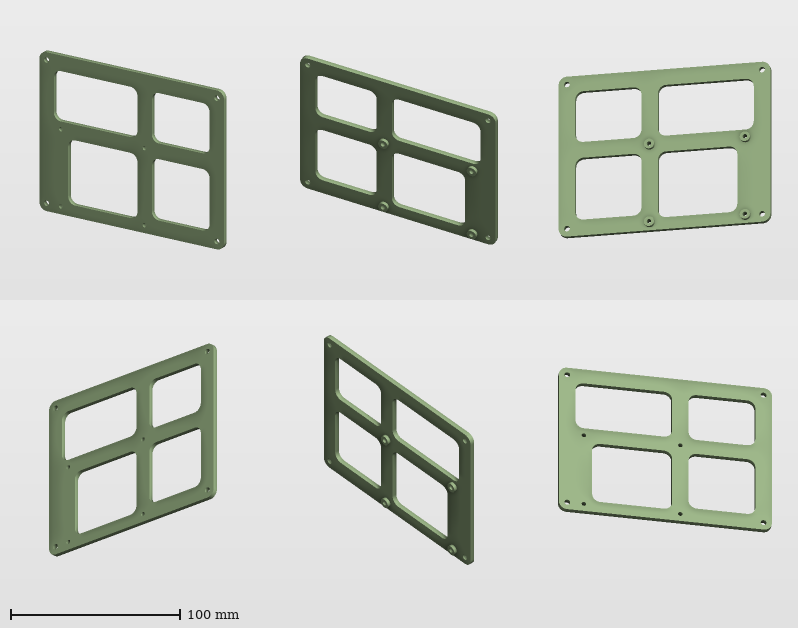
import cadquery as cq

width = 128.0
height = 101.0
plate_thickness = 3.0
boss_height = 2.0
corner_radius = 5.0

rail = 10.0
window_radius = 5.0
right_window_width = 40.0
upper_window_height = 32.0
lower_left_indent = 10.0
lower_left_drop = 2.4

hole_inset = 5.0
corner_hole_diameter = 3.5
boss_hole_diameter = 2.7
boss_diameter = 6.1

right_end = width - rail
right_start = right_end - right_window_width
left_end = right_start - rail
upper_top = height - rail
upper_bottom = upper_top - upper_window_height
lower_top = upper_bottom - rail

windows = [
    (rail, left_end, upper_bottom, upper_top),
    (right_start, right_end, upper_bottom, upper_top),
    (rail + lower_left_indent, left_end, rail - lower_left_drop, lower_top),
    (right_start, right_end, rail, lower_top),
]

corner_points = [
    (x, z)
    for x in (hole_inset, width - hole_inset)
    for z in (hole_inset, height - hole_inset)
]

boss_points = [
    (x, z)
    for x in (rail + hole_inset, left_end + rail / 2)
    for z in (hole_inset, lower_top + rail / 2)
]


def rounded_block(x_start, x_end, z_bottom, z_top, radius):
    """Plate-thick block with its four corners rounded."""
    block = cq.Workplane("XY").box(
        x_end - x_start, plate_thickness, z_top - z_bottom, centered=False
    )
    return block.edges("|Y").fillet(radius).translate((x_start, 0, z_bottom))


def cylinders(points, diameter, y_start, length):
    """Cylinders along +Y centred on (x, z) points."""
    plane = cq.Workplane("XZ", origin=(0, y_start, 0))
    return plane.pushPoints(points).circle(diameter / 2).extrude(-length)


frame = rounded_block(0, width, 0, height, corner_radius)
for window in windows:
    frame = frame.cut(rounded_block(*window, window_radius))

total_depth = plate_thickness + boss_height
frame = frame.union(cylinders(boss_points, boss_diameter, plate_thickness, boss_height))
frame = frame.cut(cylinders(corner_points, corner_hole_diameter, 0, plate_thickness))
frame = frame.cut(cylinders(boss_points, boss_hole_diameter, 0, total_depth))

result = frame.translate((-width / 2, 0, -height / 2))